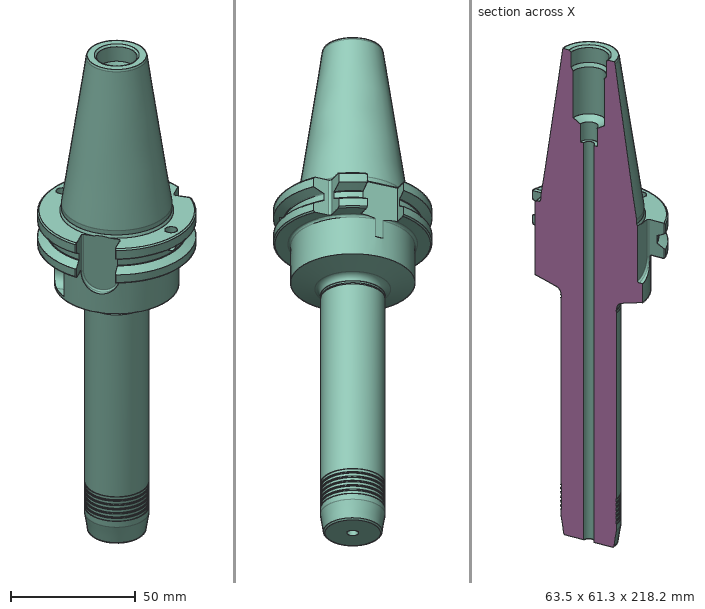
import cadquery as cq
import math


gauge_radius = 44.45 / 2
taper_length = 68.25
taper_radius_slope = 7 / 48
taper_end_chamfer = 0.9
taper_end_chamfer_inset = 0.35

flange_radius = 63.5 / 2
flange_top = -3.18
flange_bottom = -19.05
flange_edge_chamfer = 0.6
collar_chamfer_height = 1.2
collar_chamfer_width = 0.6
groove_centre = -11.3
groove_floor_radius = 28.0
groove_floor_half_width = 1.5
groove_corner_fillet = 0.3
groove_flank_angle = 30.0

body_radius = 24.95
body_fillet = 1.0
body_bottom = -36.7
shoulder_angle = 16.0

nose_radius = 13.0
nose_bottom = -150.0
nose_relief_top = -42.6
nose_relief_height = 1.4
nose_relief_depth = 0.3
neck_fillet = 3.0
ring_count = 6
ring_pitch = 1.97
ring_groove_width = 1.35
ring_groove_depth = 0.2
ring_top = -127.7
ring_cutter_clearance = 1.0
nose_taper_top = -141.6
nose_taper_angle = 9.0
nose_end_chamfer = 0.65

slot_width = 16.1
slot_end_centre = -20.0
front_slot_floor = 22.6
rear_slot_floor = 24.9
front_slot_floor_fillet = 0.7
front_slot_rim_chamfer = 0.5
rear_slot_top_chamfer = 0.7

notch_x = 18.3
notch_y = 18.2
notch_corner_radius = 1.0

port_radius = 2.5
port_x = 25.3
port_y = -9.2
port_wall_bottom = -11.4

pocket_radius = 5.65
pocket_y = -13.0
pocket_z = -29.7
pocket_floor_x = -16.75

mouth_radius = 9.0
counterbore_radius = 8.15
counterbore_depth = 7.5
thread_radius = 7.1
thread_lead_in = 1.5
thread_depth = 30.0
step_radius = 3.8
step_depth = 40.0
coolant_radius = 2.3

drill_point_angle = 118.0

selection_margin = 0.1


def tan_deg(angle):
    return math.tan(math.radians(angle))


def revolve_about_z(outline):
    return outline.close().revolve(360, (0, 0, 0), (0, 1, 0))


def drill_cone_height(large_radius, small_radius):
    return (large_radius - small_radius) / tan_deg(drill_point_angle / 2)


def make_taper_and_flange():
    small_end_radius = gauge_radius - taper_length * taper_radius_slope
    flank_half_width = groove_floor_half_width + (
        (flange_radius - groove_floor_radius) * tan_deg(groove_flank_angle)
    )
    rim_radius = flange_radius - flange_edge_chamfer
    outline = (
        cq.Workplane("XZ")
        .moveTo(0, taper_length)
        .lineTo(small_end_radius - taper_end_chamfer_inset, taper_length)
        .lineTo(small_end_radius, taper_length - taper_end_chamfer)
        .lineTo(gauge_radius, 0)
        .lineTo(gauge_radius, flange_top + collar_chamfer_height)
        .lineTo(gauge_radius + collar_chamfer_width, flange_top)
        .lineTo(rim_radius, flange_top)
        .lineTo(flange_radius, flange_top - flange_edge_chamfer)
        .lineTo(flange_radius, groove_centre + flank_half_width)
        .lineTo(groove_floor_radius, groove_centre + groove_floor_half_width)
        .lineTo(groove_floor_radius, groove_centre - groove_floor_half_width)
        .lineTo(flange_radius, groove_centre - flank_half_width)
        .lineTo(flange_radius, flange_bottom + flange_edge_chamfer)
        .lineTo(rim_radius, flange_bottom)
        .lineTo(0, flange_bottom)
    )
    groove_corners = cq.selectors.BoxSelector(
        (-selection_margin, -selection_margin, groove_centre - groove_floor_half_width - selection_margin),
        (selection_margin, selection_margin, groove_centre + groove_floor_half_width + selection_margin),
    )
    return revolve_about_z(outline).edges(groove_corners).fillet(groove_corner_fillet)


def make_body_and_nose():
    shoulder_bottom = body_bottom - (body_radius - nose_radius) * tan_deg(shoulder_angle)
    tangent_length = neck_fillet * tan_deg((90 - shoulder_angle) / 2)
    fillet_start = (
        nose_radius + tangent_length * math.cos(math.radians(shoulder_angle)),
        shoulder_bottom + tangent_length * math.sin(math.radians(shoulder_angle)),
    )
    taper_bottom = nose_bottom + nose_end_chamfer
    nose_end_radius = nose_radius - (nose_taper_top - taper_bottom) * tan_deg(nose_taper_angle)
    outline = (
        cq.Workplane("XZ")
        .moveTo(0, flange_bottom)
        .lineTo(body_radius + body_fillet, flange_bottom)
        .radiusArc((body_radius, flange_bottom - body_fillet), -body_fillet)
        .lineTo(body_radius, body_bottom)
        .lineTo(*fillet_start)
        .radiusArc((nose_radius, shoulder_bottom - tangent_length), -neck_fillet)
        .lineTo(nose_radius, nose_taper_top)
        .lineTo(nose_end_radius, taper_bottom)
        .lineTo(nose_end_radius - nose_end_chamfer, nose_bottom)
        .lineTo(0, nose_bottom)
    )
    return revolve_about_z(outline)


def make_nose_relief():
    outline = (
        cq.Workplane("XZ")
        .moveTo(nose_radius, nose_relief_top)
        .lineTo(nose_radius - nose_relief_depth, nose_relief_top - nose_relief_height / 2)
        .lineTo(nose_radius, nose_relief_top - nose_relief_height)
    )
    return revolve_about_z(outline)


def make_sealing_groove(top):
    return (
        cq.Workplane("XY", origin=(0, 0, top - ring_groove_width))
        .circle(nose_radius + ring_cutter_clearance)
        .circle(nose_radius - ring_groove_depth)
        .extrude(ring_groove_width)
    )


def make_drive_slot(floor_distance):
    half_width = slot_width / 2
    return (
        cq.Workplane("XZ", origin=(0, -floor_distance, slot_end_centre))
        .moveTo(-half_width, -slot_end_centre)
        .lineTo(-half_width, 0)
        .threePointArc((0, -half_width), (half_width, 0))
        .lineTo(half_width, -slot_end_centre)
        .close()
        .extrude(flange_radius - floor_distance)
    )


def make_front_slot():
    floor_edges = cq.selectors.BoxSelector(
        (-slot_width, -front_slot_floor - selection_margin, slot_end_centre - slot_width),
        (slot_width, -front_slot_floor + selection_margin, flange_top),
    )
    return make_drive_slot(front_slot_floor).edges(floor_edges).fillet(front_slot_floor_fillet)


def make_front_slot_rim_chamfer():
    half_width = slot_width / 2
    rim_x = half_width + front_slot_rim_chamfer
    rim_y = math.sqrt(flange_radius**2 - rim_x**2)
    return (
        cq.Workplane("XY", origin=(0, 0, flange_bottom))
        .moveTo(-half_width, front_slot_rim_chamfer - rim_y)
        .lineTo(-rim_x, -rim_y)
        .lineTo(-rim_x, -flange_radius)
        .lineTo(rim_x, -flange_radius)
        .lineTo(rim_x, -rim_y)
        .lineTo(half_width, front_slot_rim_chamfer - rim_y)
        .close()
        .extrude(flange_top - flange_bottom)
    )


def chamfer_rear_slot_top(body):
    slot_top_edges = cq.selectors.BoxSelector(
        (
            -slot_width / 2 - selection_margin,
            rear_slot_floor - selection_margin,
            flange_top - selection_margin,
        ),
        (slot_width / 2 + selection_margin, flange_radius, flange_top + selection_margin),
    )
    return body.edges(slot_top_edges).chamfer(rear_slot_top_chamfer)


def make_notch():
    height = flange_top - flange_bottom
    return (
        cq.Workplane("XY", origin=(notch_x, notch_y, flange_bottom))
        .rect(flange_radius, flange_radius, centered=False)
        .extrude(height)
        .edges("|Z and <X and <Y")
        .fillet(notch_corner_radius)
    )


def make_port(x, y):
    outline = (
        cq.Workplane("XZ")
        .moveTo(0, flange_top)
        .lineTo(port_radius, flange_top)
        .lineTo(port_radius, port_wall_bottom)
        .lineTo(0, port_wall_bottom - drill_cone_height(port_radius, 0))
    )
    return revolve_about_z(outline).translate((x, y, 0))


def make_screw_pocket():
    reach = body_radius
    pocket = (
        cq.Workplane("YZ", origin=(pocket_floor_x, pocket_y, pocket_z))
        .moveTo(0, pocket_radius)
        .threePointArc((pocket_radius, 0), (0, -pocket_radius))
        .lineTo(-reach, -pocket_radius)
        .lineTo(-reach, pocket_radius)
        .close()
        .extrude(-reach)
    )
    point_height = drill_cone_height(pocket_radius, 0)
    drill_point = cq.Solid.makeCone(
        pocket_radius,
        0,
        point_height,
        pnt=cq.Vector(pocket_floor_x, pocket_y, pocket_z),
        dir=cq.Vector(1, 0, 0),
    )
    return pocket.union(cq.Workplane(obj=drill_point))


def make_bore():
    counterbore_floor = taper_length - counterbore_depth
    thread_floor = taper_length - thread_depth
    cone_bottom = thread_floor - drill_cone_height(thread_radius, step_radius)
    step_floor = taper_length - step_depth
    outline = (
        cq.Workplane("XZ")
        .moveTo(0, taper_length)
        .lineTo(mouth_radius, taper_length)
        .lineTo(counterbore_radius, taper_length - (mouth_radius - counterbore_radius))
        .lineTo(counterbore_radius, counterbore_floor)
        .lineTo(thread_radius, counterbore_floor - thread_lead_in)
        .lineTo(thread_radius, thread_floor)
        .lineTo(step_radius, cone_bottom)
        .lineTo(step_radius, step_floor)
        .lineTo(coolant_radius, step_floor)
        .lineTo(coolant_radius, nose_bottom)
        .lineTo(0, nose_bottom)
    )
    return revolve_about_z(outline)


result = make_taper_and_flange().union(make_body_and_nose())

result = result.cut(make_nose_relief())
for index in range(ring_count):
    result = result.cut(make_sealing_groove(ring_top - index * ring_pitch))

rear_slot = make_drive_slot(rear_slot_floor).rotate((0, 0, 0), (0, 0, 1), 180)
result = chamfer_rear_slot_top(result.cut(rear_slot))
result = result.cut(make_front_slot())
result = result.cut(make_front_slot_rim_chamfer())
result = result.cut(make_notch())
result = result.cut(make_port(port_x, port_y))
result = result.cut(make_port(-port_x, -port_y))
result = result.cut(make_screw_pocket())
result = result.cut(make_bore())